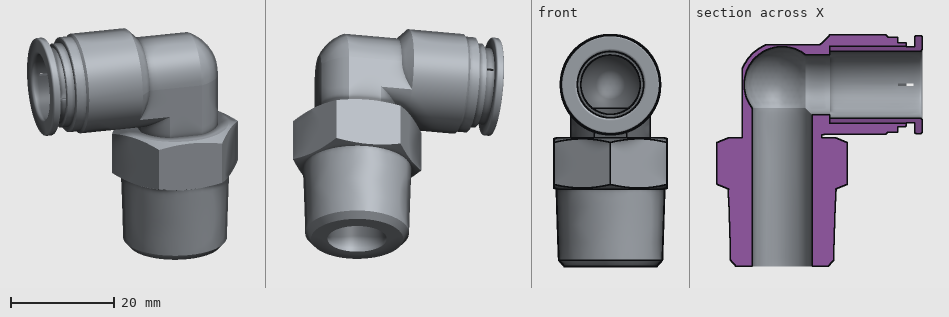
import cadquery as cq
import math

THREAD_LENGTH = 15.0
THREAD_TIP_RADIUS = 8.95
THREAD_LOWER_RADIUS = 10.1
THREAD_UPPER_RADIUS = 10.55
THREAD_CHAMFER_HEIGHT = 1.25

HEX_ACROSS_FLATS = 22.0
HEX_HEIGHT = 10.05
HEX_FACE_RADIUS = 10.4
HEX_CHAMFER_DROP = 0.95
HEX_CORNER_RADIUS = HEX_ACROSS_FLATS / math.sqrt(3)
HEX_TOP = THREAD_LENGTH + HEX_HEIGHT

TOTAL_HEIGHT = 45.0
TOTAL_DEPTH = 39.9
SLEEVE_RADIUS = 9.7
ARM_HEIGHT = TOTAL_HEIGHT - SLEEVE_RADIUS
ARM_RADIUS = 7.75
COLUMN_RADIUS = 8.35
BALL_EDGE = math.sqrt(COLUMN_RADIUS**2 - ARM_RADIUS**2)

SHOULDER_END = 9.25
SHOULDER_START = SHOULDER_END - (SLEEVE_RADIUS - ARM_RADIUS)
SLEEVE_END = 20.05
STEP_RADIUS = 9.25
STEP_START = SLEEVE_END + SLEEVE_RADIUS - STEP_RADIUS
STEP_END = 22.5
RING_RADIUS = 8.2
RING_END = 24.08
EDGE_BREAK = 0.15

MOUTH = TOTAL_DEPTH - HEX_CORNER_RADIUS
COLLET_RADIUS = 7.42
COLLET_BORE_RADIUS = 6.45
COLLET_BORE_FILLET = 0.55
FLANGE_RADIUS = 9.55
FLANGE_THICKNESS = 1.55
FLANGE_FILLET = 0.35
FLANGE_BACK = MOUTH - FLANGE_THICKNESS
SLOT_END = 25.45
SLOT_LENGTH = 2.95
SLOT_WIDTH = 0.45

PASSAGE_RADIUS = 5.75
PASSAGE_BALL_EDGE = 4.55
PASSAGE_BALL_RADIUS = math.hypot(PASSAGE_RADIUS, PASSAGE_BALL_EDGE)


def arm_cylinder(radius, start, end):
    """Cylinder on the arm axis between two distances from the stud axis."""
    return cq.Workplane("XZ", origin=(0, -start, ARM_HEIGHT)).circle(radius).extrude(end - start)


def upright_cylinder(radius, bottom, top):
    """Cylinder on the stud axis."""
    return cq.Workplane("XY", origin=(0, 0, bottom)).circle(radius).extrude(top - bottom)


def ball(radius):
    """Sphere where the stud and arm axes cross."""
    return cq.Workplane("XY", origin=(0, 0, ARM_HEIGHT)).sphere(radius)


def make_thread():
    """Tapered thread envelope with a chamfered tip."""
    profile = cq.Workplane("XZ").polyline([
        (0, 0),
        (THREAD_TIP_RADIUS, 0),
        (THREAD_LOWER_RADIUS, THREAD_CHAMFER_HEIGHT),
        (THREAD_UPPER_RADIUS, THREAD_LENGTH),
        (0, THREAD_LENGTH),
    ])
    return profile.close().revolve(360, (0, 0, 0), (0, 1, 0))


def make_hexagon():
    """Hexagon with conical chamfers on both ends."""
    prism = (
        cq.Workplane("XY", origin=(0, 0, THREAD_LENGTH))
        .polygon(6, 2 * HEX_CORNER_RADIUS)
        .extrude(HEX_HEIGHT)
        .rotate((0, 0, 0), (0, 0, 1), 30)
    )
    envelope = cq.Workplane("XZ").polyline([
        (0, THREAD_LENGTH),
        (HEX_FACE_RADIUS, THREAD_LENGTH),
        (HEX_CORNER_RADIUS, THREAD_LENGTH + HEX_CHAMFER_DROP),
        (HEX_CORNER_RADIUS, HEX_TOP - HEX_CHAMFER_DROP),
        (HEX_FACE_RADIUS, HEX_TOP),
        (0, HEX_TOP),
    ])
    return prism.intersect(envelope.close().revolve(360, (0, 0, 0), (0, 1, 0)))


def make_column():
    """Upright column with four flats, its rear closed by a ball above the arm axis."""
    width = 2 * ARM_RADIUS
    flats = cq.Workplane("XY").box(width, width, TOTAL_HEIGHT, centered=(True, True, False))
    front = cq.Workplane("XY", origin=(0, BALL_EDGE - TOTAL_DEPTH, ARM_HEIGHT)).box(
        width, TOTAL_DEPTH, TOTAL_HEIGHT, centered=(True, False, False)
    )
    bullet = (
        cq.Workplane("XZ")
        .moveTo(0, HEX_TOP)
        .lineTo(COLUMN_RADIUS, HEX_TOP)
        .lineTo(COLUMN_RADIUS, ARM_HEIGHT)
        .radiusArc((0, ARM_HEIGHT + COLUMN_RADIUS), -COLUMN_RADIUS)
        .close()
        .revolve(360, (0, 0, 0), (0, 1, 0))
    )
    return bullet.intersect(flats).cut(front)


def make_arm():
    """Arm with a half-round top, flat sides and a bottom rounded by the sleeve radius."""
    side_drop = math.sqrt(SLEEVE_RADIUS**2 - ARM_RADIUS**2)
    return (
        cq.Workplane("XZ", origin=(0, BALL_EDGE, ARM_HEIGHT))
        .moveTo(-ARM_RADIUS, 0)
        .threePointArc((0, ARM_RADIUS), (ARM_RADIUS, 0))
        .lineTo(ARM_RADIUS, -side_drop)
        .threePointArc((0, -SLEEVE_RADIUS), (-ARM_RADIUS, -side_drop))
        .close()
        .extrude(BALL_EDGE + SHOULDER_END)
    )


def make_sleeve():
    """Sleeve with a conical shoulder, a chamfered step and an end ring, their rims broken."""
    profile = cq.Workplane("XY", origin=(0, 0, ARM_HEIGHT)).polyline([
        (0, -SHOULDER_START),
        (ARM_RADIUS, -SHOULDER_START),
        (SLEEVE_RADIUS, -SHOULDER_END),
        (SLEEVE_RADIUS, -SLEEVE_END),
        (STEP_RADIUS, -STEP_START),
        (STEP_RADIUS, EDGE_BREAK - STEP_END),
        (STEP_RADIUS - EDGE_BREAK, -STEP_END),
        (RING_RADIUS, -STEP_END),
        (RING_RADIUS, EDGE_BREAK - RING_END),
        (RING_RADIUS - EDGE_BREAK, -RING_END),
        (0, -RING_END),
    ])
    return profile.close().revolve(360, (0, 0, 0), (0, 1, 0))


def make_passage():
    """Elbow passage with a ball at the turn, and the socket for the collet."""
    upright = upright_cylinder(PASSAGE_RADIUS, 0, ARM_HEIGHT)
    arm = arm_cylinder(PASSAGE_RADIUS, 0, RING_END)
    socket = arm_cylinder(COLLET_RADIUS, SHOULDER_END, RING_END)
    return upright.union(arm).union(ball(PASSAGE_BALL_RADIUS)).union(socket)


def make_body():
    """Stud, hexagon, elbow and sleeve as one hollow solid."""
    body = make_thread().union(make_hexagon()).union(make_column())
    body = body.union(make_arm()).union(make_sleeve())
    return body.cut(make_passage())


def make_collet():
    """Flanged release collet with a narrow slot on each side."""
    flange = arm_cylinder(FLANGE_RADIUS, FLANGE_BACK, MOUTH).edges().fillet(FLANGE_FILLET)
    collet = arm_cylinder(COLLET_RADIUS, SHOULDER_END, FLANGE_BACK).union(flange)
    collet = collet.cut(arm_cylinder(COLLET_BORE_RADIUS, SHOULDER_END, MOUTH))
    bore_rim = cq.selectors.RadiusNthSelector(0)
    collet = collet.faces("<Y").edges(bore_rim).fillet(COLLET_BORE_FILLET)
    slots = cq.Workplane("XY", origin=(0, SLOT_LENGTH / 2 - SLOT_END, ARM_HEIGHT)).box(
        2 * FLANGE_RADIUS, SLOT_LENGTH, SLOT_WIDTH
    )
    return collet.cut(slots)


body = make_body()
collet = make_collet()
result = cq.Compound.makeCompound([body.val(), collet.val()])